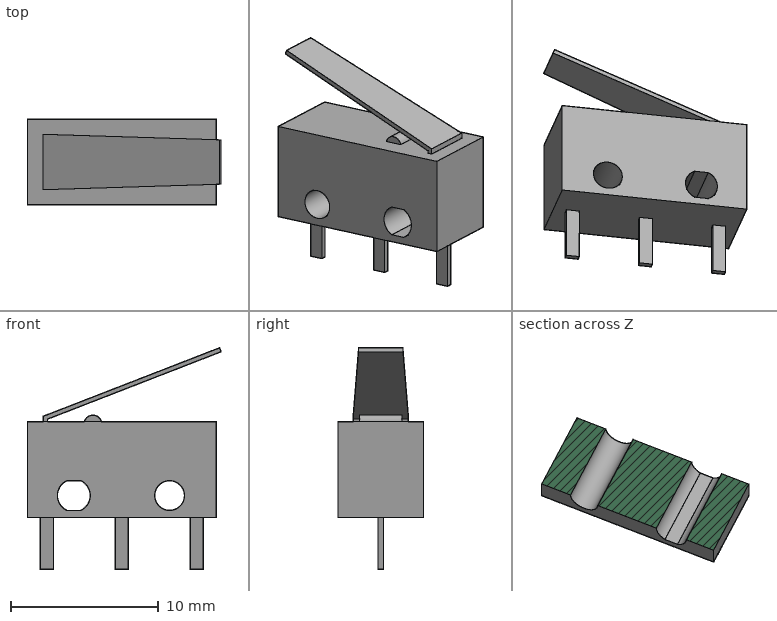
import cadquery as cq
import math

body_length = 12.8
body_depth = 5.8
body_height = 6.5

hole_height = 1.5
hole_diameter = 2.0
round_hole_x = 9.63
flatted_hole_x = 3.15
flatted_hole_diameter = 2.2

pin_length = 3.5
pin_width = 0.9
pin_thickness = 0.4
pin_pitch = 5.07

plunger_x = 4.44
plunger_radius = 0.6
plunger_rise = 0.45
plunger_width = 2.85

lever_x = 1.08
lever_thickness = 0.3
lever_leg_height = 0.38
lever_tip_x = 13.12
lever_tip_rise = 5.01
lever_base_width = 3.75
lever_tip_width = 3.0
lever_angle = math.radians(21.2)


def through_cutter(sketch):
    """Extrude an XZ sketch through the full housing depth."""
    return sketch.extrude(body_depth / 2, both=True)


def make_holes():
    round_hole = through_cutter(
        cq.Workplane("XZ").center(round_hole_x, hole_height).circle(hole_diameter / 2)
    )
    flatted_hole = through_cutter(
        cq.Workplane("XZ").center(flatted_hole_x, hole_height).circle(flatted_hole_diameter / 2)
    )
    flats = through_cutter(
        cq.Workplane("XZ").center(flatted_hole_x, hole_height).rect(flatted_hole_diameter, hole_diameter)
    )
    return round_hole.union(flatted_hole.intersect(flats))


def make_pins():
    return (
        cq.Workplane("XY")
        .center(body_length / 2, 0)
        .rarray(pin_pitch, 0.15, 3, 1)
        .rect(pin_width, pin_thickness)
        .extrude(-pin_length)
    )


def make_plunger():
    axis_z = body_height + plunger_rise - plunger_radius
    return (
        cq.Workplane("XZ")
        .center(plunger_x, axis_z)
        .circle(plunger_radius)
        .extrude(plunger_width / 2, both=True)
    )


def make_lever():
    bend_z = body_height + lever_leg_height
    tip_z = body_height + lever_tip_rise
    inner_x = lever_x + lever_thickness
    inner_z = bend_z + lever_thickness * (math.tan(lever_angle) - 1 / math.cos(lever_angle))
    profile = (
        cq.Workplane("XZ")
        .moveTo(lever_x, body_height)
        .lineTo(lever_x, bend_z)
        .lineTo(lever_tip_x - lever_thickness * math.sin(lever_angle), tip_z)
        .lineTo(lever_tip_x, tip_z - lever_thickness * math.cos(lever_angle))
        .lineTo(inner_x, inner_z)
        .lineTo(inner_x, body_height)
        .close()
        .extrude(lever_base_width / 2, both=True)
    )
    plan = (
        cq.Workplane("XY")
        .workplane(offset=body_height)
        .moveTo(lever_x, -lever_base_width / 2)
        .lineTo(lever_tip_x, -lever_tip_width / 2)
        .lineTo(lever_tip_x, lever_tip_width / 2)
        .lineTo(lever_x, lever_base_width / 2)
        .close()
        .extrude(lever_tip_rise)
    )
    return profile.intersect(plan)


body = cq.Workplane("XY").box(body_length, body_depth, body_height, centered=(False, True, False))
result = body.union(make_plunger()).cut(make_holes()).union(make_pins()).union(make_lever())